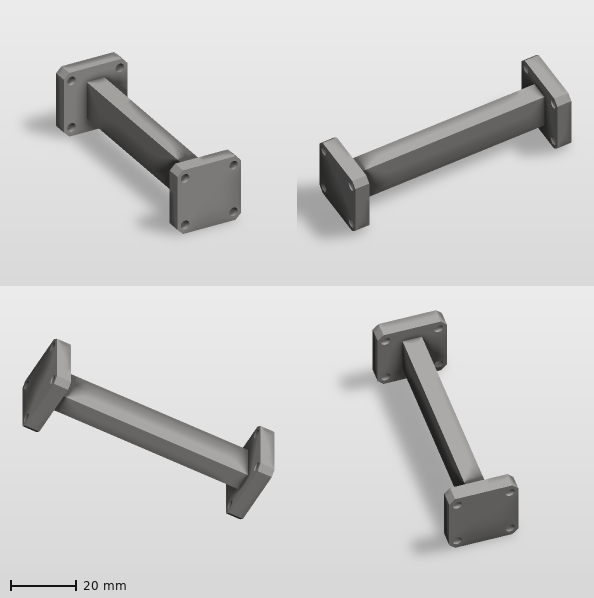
import cadquery as cq

length = 76.2
flange_side = 22.3
flange_thickness = 4.95
corner_chamfer = 1.9

tube_width = 6.25
tube_height = 12.65

hole_diameter = 3.0
hole_spacing_y = 17.1
hole_spacing_z = 16.3


def flange(center_x):
    """Square plate across X with chamfered corners and four mounting holes."""
    plate = cq.Workplane("YZ").box(flange_side, flange_side, flange_thickness)
    plate = plate.edges("|X").chamfer(corner_chamfer)
    holes = (
        cq.Workplane("YZ")
        .rarray(hole_spacing_y, hole_spacing_z, 2, 2)
        .circle(hole_diameter / 2)
        .extrude(flange_thickness, both=True)
    )
    return plate.cut(holes).translate((center_x, 0, 0))


flange_offset = (length - flange_thickness) / 2
tube_length = length - 2 * flange_thickness

result = cq.Workplane("XY").box(tube_length, tube_width, tube_height)
for side in (-1, 1):
    result = result.union(flange(side * flange_offset))